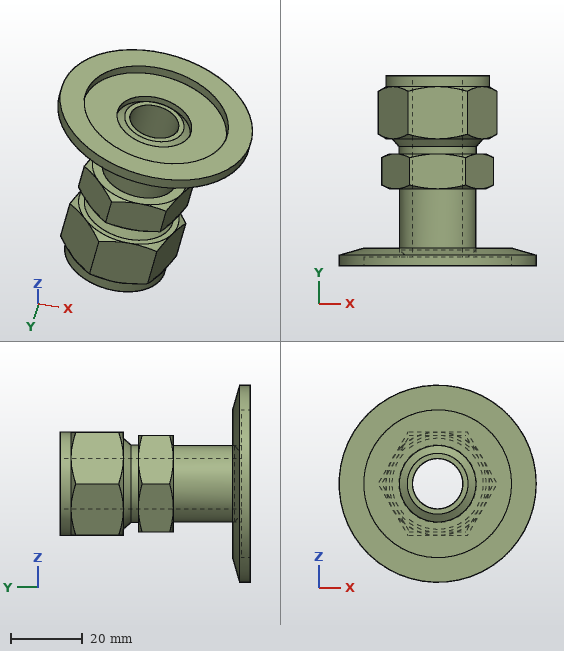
import cadquery as cq
import math


flange_diameter = 55.0
rim_width = 3.0
flange_back = 5.0
recess_diameter = 41.2
recess_depth = 2.55

tube_diameter = 21.35
bore_diameter = 13.95
tube_end = recess_depth
tube_bevel_width = 2.2
tube_bevel_length = 1.85

body_hex_start = 21.5
body_hex_end = 31.25
body_hex_flats = 27.0
body_hex_bevel = 1.05
neck_diameter = 21.6
neck_end = 33.3
cone_diameter = 25.4
nut_start = 35.4
nut_end = 50.0
nut_flats = 28.7
nut_bevel = 1.3
collar_diameter = 28.95
fitting_end = 53.1


def revolve_about_y(outline):
    """Revolve a closed outline of (radius, y) points about the Y axis."""
    return cq.Workplane("XY").polyline(outline).close().revolve(360, (0, 0, 0), (0, 1, 0))


def cylinder(diameter, start, end):
    """Make a cylinder along Y from start to end."""
    plane = cq.Plane(origin=(0, start, 0), xDir=(1, 0, 0), normal=(0, 1, 0))
    return cq.Workplane(plane).circle(diameter / 2).extrude(end - start)


def beveled_hexagon(flats, start, end, bevel):
    """Make a hexagon along Y with corners on +X and -X and conical bevels at both ends."""
    corner_diameter = flats / math.cos(math.pi / 6)
    plane = cq.Plane(origin=(0, start, 0), xDir=(1, 0, 0), normal=(0, 1, 0))
    prism = cq.Workplane(plane).polygon(6, corner_diameter).extrude(end - start)
    face_radius = flats / 2
    corner_radius = corner_diameter / 2
    envelope = revolve_about_y([
        (0, start),
        (face_radius, start),
        (corner_radius, start + bevel),
        (corner_radius, end - bevel),
        (face_radius, end),
        (0, end),
    ])
    return prism.intersect(envelope)


def make_flange():
    """Make the flange: tapered back, front recess and a bore for the tube."""
    rim_radius = flange_diameter / 2
    disc = revolve_about_y([
        (0, 0),
        (rim_radius, 0),
        (rim_radius, rim_width),
        (recess_diameter / 2, flange_back),
        (0, flange_back),
    ])
    recess = cylinder(recess_diameter, 0, recess_depth)
    tube_hole = cylinder(tube_diameter, 0, flange_back)
    return disc.cut(recess).cut(tube_hole)


def make_fitting():
    """Make the fitting: beveled tube, body hexagon, neck, cone and nut, bored through."""
    tube_radius = tube_diameter / 2
    tube = revolve_about_y([
        (0, tube_end),
        (tube_radius - tube_bevel_width, tube_end),
        (tube_radius, tube_end + tube_bevel_length),
        (tube_radius, body_hex_start),
        (0, body_hex_start),
    ])
    body_hex = beveled_hexagon(body_hex_flats, body_hex_start, body_hex_end, body_hex_bevel)
    neck = cylinder(neck_diameter, body_hex_end, neck_end)
    cone = revolve_about_y([
        (0, neck_end),
        (neck_diameter / 2, neck_end),
        (cone_diameter / 2, nut_start),
        (0, nut_start),
    ])
    nut = beveled_hexagon(nut_flats, nut_start, nut_end, nut_bevel)
    collar = cylinder(collar_diameter, nut_end, fitting_end)
    bore = cylinder(bore_diameter, tube_end, fitting_end)
    return tube.union(body_hex).union(neck).union(cone).union(nut).union(collar).cut(bore)


flange = make_flange()
fitting = make_fitting()
result = cq.Compound.makeCompound([*flange.solids().vals(), *fitting.solids().vals()])